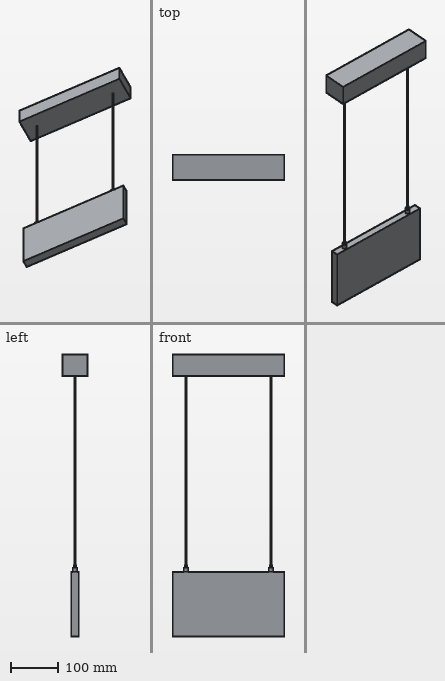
import cadquery as cq

width = 237.0
total_height = 598.5

box_depth = 54.0
box_height = 46.0

panel_depth = 16.0
panel_height = 137.0

cable_spacing = 180.0
cable_diameter = 2.5
collar_diameter = 10.0
collar_height = 9.0
neck_diameter = 5.0
neck_height = 5.5

box_bottom = total_height - box_height
collar_top = panel_height + collar_height
neck_top = collar_top + neck_height


def block(depth, height, bottom):
    """Full-width block centred on the vertical axis."""
    return cq.Workplane("XY", origin=(0, 0, bottom)).box(
        width, depth, height, centered=(True, True, False)
    )


def rod(x, diameter, bottom, top):
    """Vertical round rod between two heights."""
    return cq.Workplane("XY", origin=(x, 0, bottom)).circle(diameter / 2).extrude(top - bottom)


def suspension(x):
    """Collar, neck and cable stacked from the panel up to the ceiling box."""
    collar = rod(x, collar_diameter, panel_height, collar_top)
    neck = rod(x, neck_diameter, collar_top, neck_top)
    cable = rod(x, cable_diameter, neck_top, box_bottom)
    return collar.union(neck).union(cable)


panel = block(panel_depth, panel_height, 0)
ceiling_box = block(box_depth, box_height, box_bottom)

result = panel
for side in (-1, 1):
    result = result.union(suspension(side * cable_spacing / 2))
result = result.union(ceiling_box)